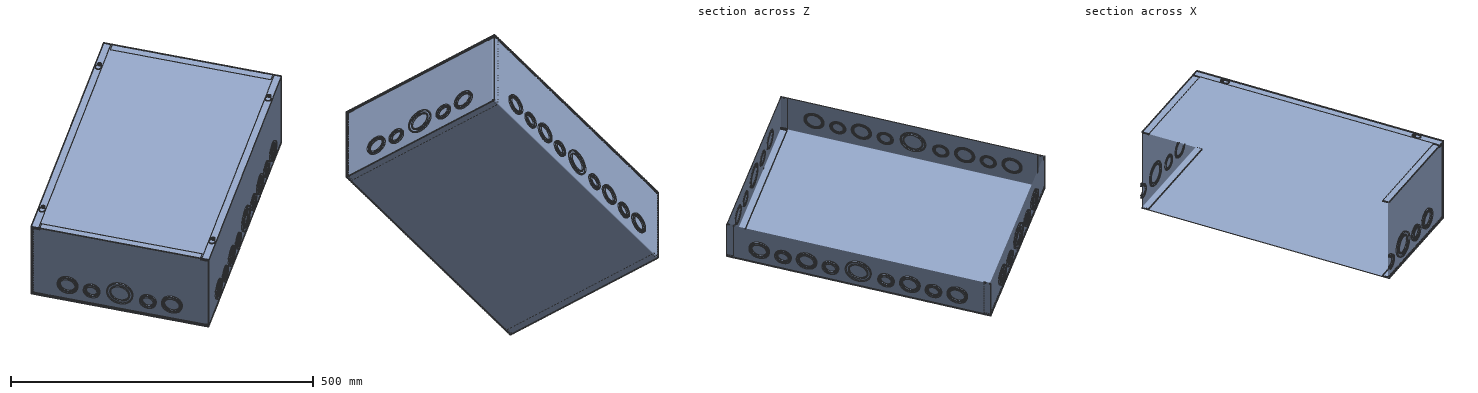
import cadquery as cq
box_width = 304.7
box_length = 457.0
box_height = 152.5

sheet = 1.45
wrapper_bend_radius = 2.0
end_bend_radius = 2.5
end_clearance = 0.5
side_flange_width = 12.5
end_flange_width = 12.0
relief_gap = 2.5
relief_depth = 3.0

screw_inset = 7.0
screw_spacing = 354.8
screw_hole_diameter = 3.5
keyhole_slot_width = 6.5
keyhole_entry_diameter = 10.0
keyhole_drop = 7.0

overall_length = 463.0
knockout_rise = (overall_length - box_length) / 2
large_knockout = (44.5, 31.5, 38.5)
medium_knockout = (35.0, 26.0, 35.0)
small_knockout = (28.3, 19.0, 32.0)

end_row = [(0, large_knockout), (48.0, small_knockout), (89.5, medium_knockout)]
side_row = end_row + [(130.0, small_knockout), (171.5, medium_knockout)]


def standing_box(width, length, height, base=0):
    """A box centred in X and Y whose underside is at the height `base`."""
    return cq.Workplane("XY", origin=(0, 0, base)).box(width, length, height, centered=(True, True, False))


def add_knockouts(body, row, wall):
    """Emboss a symmetric row of rings outwards, hollow behind; `wall` lies on the outer face."""
    for distance, (outer, inner, height) in row:
        for offset in {-distance, distance}:
            centre = cq.Workplane(wall).center(offset, height)
            ring = centre.circle(outer / 2).circle(inner / 2).extrude(knockout_rise)
            hollow = (
                centre.workplane(offset=-sheet)
                .circle(outer / 2 - sheet)
                .circle(inner / 2 + sheet)
                .extrude(knockout_rise)
            )
            body = body.union(ring).cut(hollow)
    return body


def make_wrapper():
    """Floor, both long walls and their inward top flanges, bent from one sheet."""
    outside = standing_box(box_width, box_length, box_height).edges("|Y").fillet(wrapper_bend_radius)
    inside = (
        standing_box(box_width - 2 * sheet, box_length, box_height - 2 * sheet, base=sheet)
        .edges("|Y")
        .fillet(wrapper_bend_radius - sheet)
    )
    mouth = standing_box(box_width - 2 * side_flange_width, box_length, box_height, base=sheet)
    screw_holes = (
        cq.Workplane("XY", origin=(0, 0, box_height - sheet))
        .rect(box_width - 2 * screw_inset, screw_spacing, forConstruction=True)
        .vertices()
        .circle(screw_hole_diameter / 2)
        .extrude(sheet)
    )
    body = outside.cut(inside).cut(mouth).cut(screw_holes)
    for side in (-1, 1):
        wall = cq.Plane(origin=(side * box_width / 2, 0, 0), xDir=(0, side, 0), normal=(side, 0, 0))
        body = add_knockouts(body, side_row, wall)
    return body


def make_end(turn):
    """Pan-shaped end panel with flanges folded into the box, turned about Z to its own end."""
    inset = sheet + end_clearance
    width = box_width - 2 * inset
    height = box_height - inset
    front = -box_length / 2
    panel = (
        standing_box(width, end_flange_width, height, base=inset)
        .translate((0, front + end_flange_width / 2, 0))
        .faces("<Y")
        .edges()
        .fillet(end_bend_radius)
        .faces(">Y")
        .shell(-sheet)
    )

    upper_notch = side_flange_width - inset + relief_gap
    for side in (-1, 1):
        for reach, depth, level in (
            (upper_notch, relief_depth, box_height),
            (end_bend_radius, end_bend_radius, inset),
        ):
            notch = cq.Workplane("XY", origin=(side * width / 2, front, level)).box(
                2 * reach, 3 * end_flange_width, 2 * depth
            )
            panel = panel.cut(notch)

    wall = cq.Plane(origin=(0, front, inset), xDir=(1, 0, 0), normal=(0, -1, 0))
    panel = add_knockouts(panel, end_row, wall)
    return panel.rotate((0, 0, 0), (0, 0, 1), turn)


def make_cover():
    """Flat lid with four keyholes, each wide at its -Y end."""
    cover = standing_box(box_width, box_length, sheet, base=box_height)
    for x in (screw_inset - box_width / 2, box_width / 2 - screw_inset):
        for y in (-screw_spacing / 2, screw_spacing / 2):
            screw = cq.Workplane("XY", origin=(x, y, box_height))
            seat = screw.circle(keyhole_slot_width / 2).extrude(sheet)
            slot = screw.center(0, -keyhole_drop / 2).rect(keyhole_slot_width, keyhole_drop).extrude(sheet)
            entry = screw.center(0, -keyhole_drop).circle(keyhole_entry_diameter / 2).extrude(sheet)
            cover = cover.cut(seat).cut(slot).cut(entry)
    return cover


wrapper = make_wrapper()
ends = [make_end(turn) for turn in (0, 180)]
cover = make_cover()

result = cq.Compound.makeCompound([wrapper.val(), *[end.val() for end in ends], cover.val()])